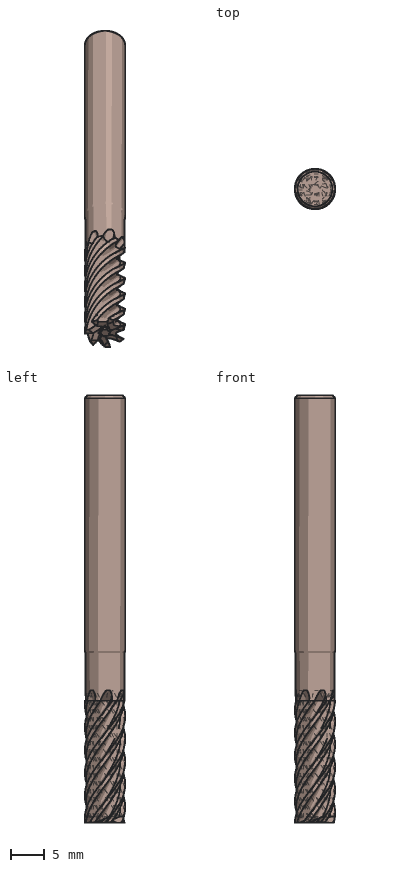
import cadquery as cq
import math

total_length = 63.0
shank_diameter = 6.0
shank_radius = shank_diameter / 2.0
cutting_length = 18.0

top_chamfer = 0.45
shank_start = 25.3
neck_end = 25.0
neck_radius = 2.9

flute_count = 7
helix_pitch = 23.45
flute_pitch_angle = 360.0 / flute_count
end_edge_angle = -55.0
end_twist = 360.0 * cutting_length / helix_pitch

rake_radius = 2.25
root_radius = 1.8
root_angle = -8.0
heel_radius = shank_radius - 0.2
heel_angle = 16.0

gash_depth = 1.0
gash_width = 1.4
gash_inner_radius = 0.6

runout_length = 1.5
runout_rise = neck_radius - root_radius
clearance = 0.6


def polar(radius, angle):
    """Point at a radius and an angle in degrees about the tool axis."""
    return (radius * math.cos(math.radians(angle)), radius * math.sin(math.radians(angle)))


def add_flute(outline, edge_angle):
    """Continue an outline from a cutting edge down the flute and up to the next heel."""
    root = polar(root_radius, edge_angle + root_angle)
    heel = polar(heel_radius, edge_angle - flute_pitch_angle + heel_angle)
    outline = outline.lineTo(*polar(rake_radius, edge_angle))
    return outline.spline([root, heel], includeCurrent=True)


def make_gash(edge_angle):
    """Triangular notch along a radius, with one side leaning with the helix under the cutting edge."""
    lean = gash_depth * 2.0 * math.pi * shank_radius / helix_pitch
    return (
        cq.Workplane("YZ")
        .workplane(offset=gash_inner_radius)
        .polyline([(0, 0), (lean, gash_depth), (-gash_width, 0)])
        .close()
        .extrude(shank_radius + clearance - gash_inner_radius)
        .rotate((0, 0, 0), (0, 0, 1), edge_angle)
    )


def make_cutter():
    """Fluted cutting end: a toothed section twisted along a right-hand helix, with gashes in its end."""
    first_edge = end_edge_angle - end_twist
    outline = cq.Workplane("XY").moveTo(*polar(shank_radius, first_edge))
    for tooth in range(flute_count):
        edge_angle = first_edge - tooth * flute_pitch_angle
        next_edge = edge_angle - flute_pitch_angle
        outline = add_flute(outline, edge_angle)
        if tooth < flute_count - 1:
            outline = outline.lineTo(*polar(shank_radius, next_edge))
    cutter = outline.close().twistExtrude(cutting_length, end_twist)
    for tooth in range(flute_count):
        cutter = cutter.cut(make_gash(first_edge + tooth * flute_pitch_angle))
    return cutter


def make_runout(edge_angle):
    """Tool that carries one flute up into the neck while it rises out of the surface."""
    outer_radius = shank_radius + clearance
    heel_direction = edge_angle - flute_pitch_angle + heel_angle
    outline = cq.Workplane("XY").workplane(offset=cutting_length).moveTo(*polar(shank_radius, edge_angle))
    wire = (
        add_flute(outline, edge_angle)
        .lineTo(*polar(outer_radius, heel_direction))
        .lineTo(*polar(outer_radius, edge_angle))
        .close()
        .val()
    )
    outward = cq.Vector(*polar(runout_rise, edge_angle + root_angle))
    travel = outward + cq.Vector(0, 0, runout_length)
    return cq.Solid.extrudeLinear(wire, [], travel)


def make_shank():
    """Plain shank with its slightly thinner neck and the runouts of the flutes."""
    shank = (
        cq.Workplane("YZ")
        .moveTo(0, cutting_length)
        .lineTo(-neck_radius, cutting_length)
        .lineTo(-neck_radius, neck_end)
        .lineTo(-shank_radius, shank_start)
        .lineTo(-shank_radius, total_length - top_chamfer)
        .lineTo(-shank_radius + top_chamfer, total_length)
        .lineTo(0, total_length)
        .close()
        .revolve(360, (0, 0), (0, 1))
    )
    for flute in range(flute_count):
        shank = shank.cut(cq.Workplane(make_runout(end_edge_angle + flute * flute_pitch_angle)))
    return shank


cutter = make_cutter()
shank = make_shank()

result = cq.Compound.makeCompound([cutter.val(), shank.val()])